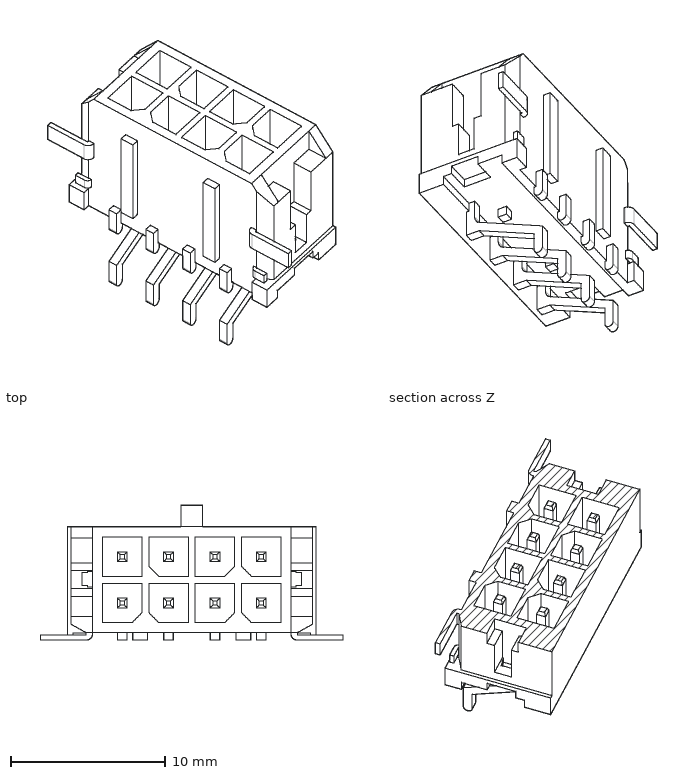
import cadquery as cq
import math

OVERALL_HEIGHT = 15.4
OVERALL_HALF_WIDTH = 9.82

FRONT_Y = 0.5
BACK_Y = 7.37
BASE_BOTTOM_Z = 5.5
BASE_TOP_Z = 7.07
SHOULDER_Z = 13.75
HOUSING_HALF_WIDTH = 7.85
TOP_HALF_WIDTH = 6.45
FRONT_HALF_WIDTH = 6.85
CORNER_CUT_Y = 1.05
BASE_HALF_WIDTH = 8.08

END_RECESS_Y = (1.53, 6.62)
WIDE_SLOT_Y = (2.83, 5.01)
WIDE_SLOT_FLOOR_Z = 10.25
NARROW_SLOT_Y = (3.36, 4.54)
NARROW_SLOT_FLOOR_Z = 7.75
CLIP_HOLE_DEPTH = 0.4
CLIP_HOLE_Y = (3.54, 4.38)
CLIP_HOLE_X = (6.78, 7.11)
CLIP_HOLE_HEAD_Y = (3.45, 4.46)

CHANNEL_Y = (1.14, 5.55)
CHANNEL_ROOF_Z = 6.15
END_WINDOW_Y = (2.95, 4.93)
END_WINDOW_TOP_Z = 6.75
STANDOFF_Y = (3.6, 4.22)
STANDOFF_X = 3.0

PITCH = 3.0
COLUMNS = 4
FRONT_ROW_Y = 2.42
BACK_ROW_Y = FRONT_ROW_Y + PITCH
CAVITY_SIZE = 2.55
CAVITY_FLOOR_Z = 7.86
KEY_CHAMFER = 0.65
PIN_SIZE = 0.63
PIN_TIP_SIZE = 0.28
PIN_TIP_Z = 11.4
PIN_TAPER = 0.5
FRONT_FOOT_BOTTOM_Z = 4.74
FRONT_PIN_TOP_Z = 6.72
LEG_CORNER_Z = 3.58
BACK_FOOT_TOP_Z = 2.05
LEG_SLOPE_DEG = 25.0
LEG_BEND_RADIUS = 0.65

RIB_X = (2.87, 3.83)
LATCH_WIDTH = 1.41
LATCH_TIP_Y = 8.76
LATCH_TOP_Z = 14.82
LATCH_NOSE_Z = (12.44, 13.15)
LATCH_UNDERCUT = 0.57
WING_X = (6.43, OVERALL_HALF_WIDTH)
WING_Y = (0.0, 0.35)
WING_Z = (10.14, 11.42)
WING_BEND_RADIUS = 0.43
STUB_X = (6.62, 7.7)
STUB_Y = (0.18, 0.47)
STUB_Z = (7.35, 8.02)
STUB_BEND_RADIUS = 0.33

FRONT_ROW_KEYS = ("R", "L", "R", "L")
BACK_ROW_KEYS = ("", "L", "R", "L")


def block(x_range, y_range, z_range):
    """Axis-aligned box between the given limits."""
    size = [limits[1] - limits[0] for limits in (x_range, y_range, z_range)]
    return cq.Workplane("XY").box(*size, centered=False).translate(
        (x_range[0], y_range[0], z_range[0])
    )


def both_ends(shape):
    """A shape on the +X side together with its mirror image."""
    return shape.union(shape.mirror("YZ"))


def side_profile(points):
    """Start a closed outline in the Y-Z plane."""
    return cq.Workplane("YZ").polyline(points)


def make_housing():
    footprint = [
        (-FRONT_HALF_WIDTH, FRONT_Y),
        (FRONT_HALF_WIDTH, FRONT_Y),
        (HOUSING_HALF_WIDTH, CORNER_CUT_Y),
        (HOUSING_HALF_WIDTH, BACK_Y),
        (-HOUSING_HALF_WIDTH, BACK_Y),
        (-HOUSING_HALF_WIDTH, CORNER_CUT_Y),
    ]
    body = (
        cq.Workplane("XY", origin=(0, 0, BASE_BOTTOM_Z))
        .polyline(footprint)
        .close()
        .extrude(OVERALL_HEIGHT - BASE_BOTTOM_Z)
    )
    slope = (
        cq.Workplane("XZ")
        .polyline(
            [
                (TOP_HALF_WIDTH, OVERALL_HEIGHT),
                (HOUSING_HALF_WIDTH, SHOULDER_Z),
                (HOUSING_HALF_WIDTH, OVERALL_HEIGHT),
            ]
        )
        .close()
        .extrude(-BACK_Y)
    )
    body = body.cut(both_ends(slope))
    flange = block(
        (-BASE_HALF_WIDTH, BASE_HALF_WIDTH), (FRONT_Y, BACK_Y), (BASE_BOTTOM_Z, BASE_TOP_Z)
    )
    foot = block(
        (FRONT_HALF_WIDTH, BASE_HALF_WIDTH), (0, CORNER_CUT_Y), (BASE_BOTTOM_Z, BASE_TOP_Z)
    )
    return body.union(flange).union(both_ends(foot))


def end_recesses():
    depth = (TOP_HALF_WIDTH, HOUSING_HALF_WIDTH)
    recess = block(depth, END_RECESS_Y, (SHOULDER_Z, OVERALL_HEIGHT))
    recess = recess.union(block(depth, WIDE_SLOT_Y, (WIDE_SLOT_FLOOR_Z, OVERALL_HEIGHT)))
    recess = recess.union(block(depth, NARROW_SLOT_Y, (NARROW_SLOT_FLOOR_Z, OVERALL_HEIGHT)))
    hole_z = (NARROW_SLOT_FLOOR_Z - CLIP_HOLE_DEPTH, NARROW_SLOT_FLOOR_Z)
    recess = recess.union(block(CLIP_HOLE_X, CLIP_HOLE_Y, hole_z))
    recess = recess.union(block((TOP_HALF_WIDTH, CLIP_HOLE_X[0]), CLIP_HOLE_HEAD_Y, hole_z))
    return both_ends(recess)


def underside_cuts():
    channel = block(
        (-BASE_HALF_WIDTH, BASE_HALF_WIDTH), CHANNEL_Y, (BASE_BOTTOM_Z, CHANNEL_ROOF_Z)
    )
    window = block(
        (TOP_HALF_WIDTH, BASE_HALF_WIDTH), END_WINDOW_Y, (BASE_BOTTOM_Z, END_WINDOW_TOP_Z)
    )
    return channel.union(both_ends(window))


def standoffs():
    half = (STANDOFF_Y[1] - STANDOFF_Y[0]) / 2
    post = block(
        (STANDOFF_X - half, STANDOFF_X + half), STANDOFF_Y, (BASE_BOTTOM_Z, BASE_TOP_Z)
    )
    return both_ends(post)


def cavity(x, y, keys):
    """Square cavity with its left (L) and right (R) front corners chamfered as keyed."""
    half = CAVITY_SIZE / 2
    left = KEY_CHAMFER if "L" in keys else 0
    right = KEY_CHAMFER if "R" in keys else 0
    outline = [(half, half), (-half, half), (-half, left - half)]
    if left:
        outline.append((left - half, -half))
    outline.append((half - right, -half))
    if right:
        outline.append((half, right - half))
    return (
        cq.Workplane("XY", origin=(x, y, CAVITY_FLOOR_Z))
        .polyline(outline)
        .close()
        .extrude(OVERALL_HEIGHT - CAVITY_FLOOR_Z)
    )


def pin_blade(y):
    """Upright square pin with a pyramid tip, rising through the cavity floor."""
    taper_z = PIN_TIP_Z - PIN_TAPER
    shank = (
        cq.Workplane("XY", origin=(0, y, CHANNEL_ROOF_Z))
        .rect(PIN_SIZE, PIN_SIZE)
        .extrude(taper_z - CHANNEL_ROOF_Z)
    )
    tip = (
        cq.Workplane("XY", origin=(0, y, taper_z))
        .rect(PIN_SIZE, PIN_SIZE)
        .workplane(offset=PIN_TAPER)
        .rect(PIN_TIP_SIZE, PIN_TIP_SIZE)
        .loft()
    )
    return shank.union(tip)


def front_contact():
    """Pin that turns forward inside the base and down in front of it."""
    half = PIN_SIZE / 2
    round_z = FRONT_FOOT_BOTTOM_Z + half
    back_y = FRONT_ROW_Y + half
    tail = (
        side_profile(
            [
                (0, round_z),
                (0, FRONT_PIN_TOP_Z),
                (back_y, FRONT_PIN_TOP_Z),
                (back_y, CHANNEL_ROOF_Z),
                (PIN_SIZE, CHANNEL_ROOF_Z),
                (PIN_SIZE, round_z),
            ]
        )
        .threePointArc((half, FRONT_FOOT_BOTTOM_Z), (0, round_z))
        .close()
        .extrude(half, both=True)
    )
    return tail.union(pin_blade(FRONT_ROW_Y))


def back_contact():
    """Pin that drops below the base, slopes forward and ends in a vertical foot."""
    half = PIN_SIZE / 2
    slope = math.radians(LEG_SLOPE_DEG)
    rise = math.tan(slope)
    drop = PIN_SIZE / math.cos(slope)
    inner_y = BACK_ROW_Y - half
    outer_y = BACK_ROW_Y + half
    corner_y = (LEG_CORNER_Z + drop - BACK_FOOT_TOP_Z) / rise

    bend_z = BACK_FOOT_TOP_Z + inner_y * rise
    tangent = LEG_BEND_RADIUS * math.tan((math.pi / 2 - slope) / 2)
    slope_end = (inner_y - tangent * math.cos(slope), bend_z - tangent * math.sin(slope))
    leg_start = (inner_y, bend_z + tangent)
    centre = (inner_y - LEG_BEND_RADIUS, bend_z + tangent)
    mid_angle = (slope - math.pi / 2) / 2
    bend_middle = (
        centre[0] + LEG_BEND_RADIUS * math.cos(mid_angle),
        centre[1] + LEG_BEND_RADIUS * math.sin(mid_angle),
    )
    tail = (
        side_profile([(0, half), (0, BACK_FOOT_TOP_Z), slope_end])
        .threePointArc(bend_middle, leg_start)
        .lineTo(inner_y, CAVITY_FLOOR_Z)
        .lineTo(outer_y, CAVITY_FLOOR_Z)
        .lineTo(outer_y, LEG_CORNER_Z)
        .lineTo(corner_y, LEG_CORNER_Z)
        .lineTo(PIN_SIZE, BACK_FOOT_TOP_Z + PIN_SIZE * rise - drop)
        .lineTo(PIN_SIZE, half)
        .threePointArc((half, 0), (0, half))
        .close()
        .extrude(half, both=True)
    )
    return tail.union(pin_blade(BACK_ROW_Y))


def latch_ramp():
    """Locking ramp on the back face, with a rounded undercut."""
    flat_z = LATCH_NOSE_Z[0]
    arc_drop = LATCH_UNDERCUT * math.sqrt(0.5)
    return (
        side_profile(
            [
                (BACK_Y, LATCH_TOP_Z),
                (LATCH_TIP_Y, LATCH_NOSE_Z[1]),
                (LATCH_TIP_Y, flat_z),
                (BACK_Y + LATCH_UNDERCUT, flat_z),
            ]
        )
        .threePointArc(
            (BACK_Y + LATCH_UNDERCUT - arc_drop, flat_z - LATCH_UNDERCUT + arc_drop),
            (BACK_Y, flat_z - LATCH_UNDERCUT),
        )
        .close()
        .extrude(LATCH_WIDTH / 2, both=True)
    )


def front_ribs():
    return both_ends(block(RIB_X, (0, FRONT_Y), (BASE_TOP_Z, SHOULDER_Z)))


def bent_strip(x_range, y_range, z_range, bend_radius):
    """Flat strip along X whose inner end bends back into the front of the housing."""
    strip = block(x_range, (y_range[0], CORNER_CUT_Y), z_range)
    strip = strip.edges("|Z and <X and <Y").fillet(bend_radius)
    gap = block((FRONT_HALF_WIDTH, x_range[1]), (y_range[1], CORNER_CUT_Y), z_range)
    return both_ends(strip.cut(gap))


result = make_housing().cut(end_recesses()).cut(underside_cuts())
result = result.union(standoffs()).union(front_ribs()).union(latch_ramp())
result = result.union(bent_strip(WING_X, WING_Y, WING_Z, WING_BEND_RADIUS))
result = result.union(bent_strip(STUB_X, STUB_Y, STUB_Z, STUB_BEND_RADIUS))

columns_x = [(column - (COLUMNS - 1) / 2) * PITCH for column in range(COLUMNS)]
for row_y, row_keys in ((FRONT_ROW_Y, FRONT_ROW_KEYS), (BACK_ROW_Y, BACK_ROW_KEYS)):
    for x, keys in zip(columns_x, row_keys):
        result = result.cut(cavity(x, row_y, keys))

for contact in (front_contact(), back_contact()):
    for x in columns_x:
        result = result.union(contact.translate((x, 0, 0)))